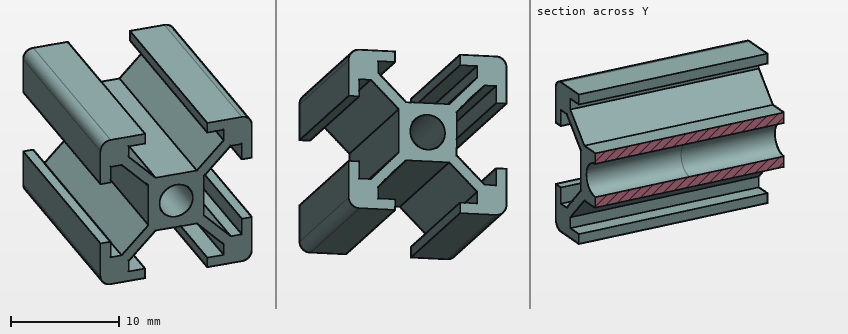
import cadquery as cq
import math

length = 20.0
side = 15.0
corner_radius = 1.0

slot_opening = 6.15
slot_inner_width = 9.4
lip_thickness = 1.0
core_width = 5.5
web_thickness = 1.0
bore_diameter = 3.3

half_side = side / 2
half_opening = slot_opening / 2
half_inner = slot_inner_width / 2
half_core = core_width / 2
lip_inner_face = half_side - lip_thickness

web_offset = web_thickness / math.sqrt(2)


def make_slot_cutter():
    """One T-slot, open towards +Z and running the full length."""
    right_half = [
        (half_core - web_offset, half_core),
        (half_inner, half_inner + web_offset),
        (half_inner, lip_inner_face),
        (half_opening, lip_inner_face),
        (half_opening, half_side),
    ]
    left_half = [(-y, z) for y, z in reversed(right_half)]
    outline = cq.Workplane("YZ").polyline(right_half + left_half).close()
    return outline.extrude(length / 2, both=True)


result = cq.Workplane("XY").box(length, side, side).edges("|X").fillet(corner_radius)

slot_cutter = make_slot_cutter()
for angle in (0, 90, 180, 270):
    result = result.cut(slot_cutter.rotate((0, 0, 0), (1, 0, 0), angle))

bore = cq.Workplane("YZ").circle(bore_diameter / 2).extrude(length / 2, both=True)
result = result.cut(bore)